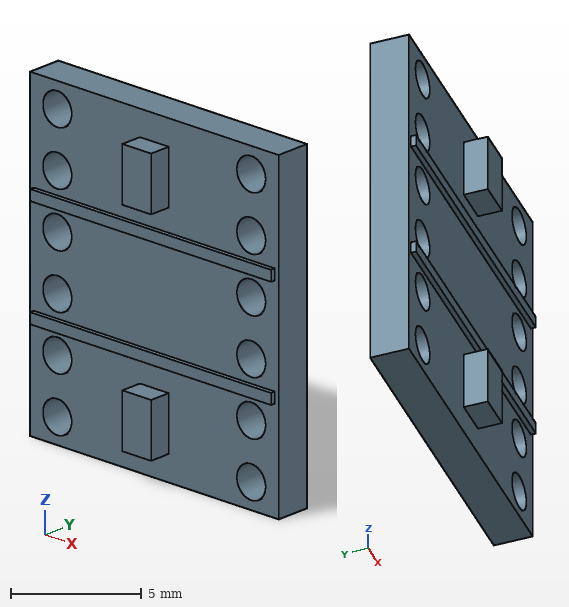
import cadquery as cq

board_width = 13.0
board_height = 15.0
board_thickness = 1.6

hole_diameter = 1.5
hole_pitch = 2.54
hole_rows = 6
hole_column_spacing = 4 * hole_pitch

strip_width = 12.6
strip_height = 0.5
strip_depth = 0.21
strip_offset = hole_pitch

component_width = 1.5
component_height = 2.5
component_depth = 0.99
component_offset = 2 * hole_pitch


def make_board():
    """Plain rectangular board with two columns of through holes."""
    board = cq.Workplane("XZ").rect(board_width, board_height).extrude(-board_thickness)
    holes = (
        cq.Workplane("XZ")
        .rarray(hole_column_spacing, hole_pitch, 2, hole_rows)
        .circle(hole_diameter / 2)
        .extrude(-board_thickness)
    )
    return board.cut(holes)


def make_front_block(width, height, depth, center_z):
    """Rectangular block resting on the front face and projecting toward -Y."""
    return cq.Workplane("XZ").center(0, center_z).rect(width, height).extrude(depth)


def make_strip(center_z):
    return make_front_block(strip_width, strip_height, strip_depth, center_z)


def make_component(center_z):
    return make_front_block(component_width, component_height, component_depth, center_z)


board = make_board()
strips = [make_strip(side * strip_offset) for side in (-1, 1)]
components = [make_component(side * component_offset) for side in (-1, 1)]

result = cq.Compound.makeCompound(
    [
        board.val(),
        *[strip.val() for strip in strips],
        *[component.val() for component in components],
    ]
)